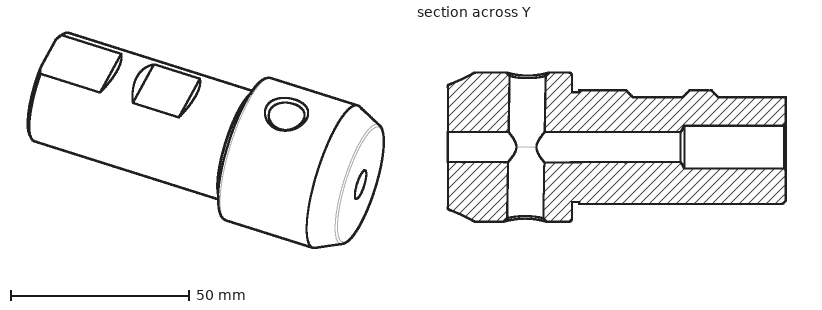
import cadquery as cq
import math

length = 95.0
shank_radius = 32.0 / 2
shank_length = 58.0
shank_chamfer = 0.95
neck_radius = 31.0 / 2
collar_start = 60.0
collar_radius = 42.0 / 2
collar_rounding = 0.95
nose_start = 87.3
nose_angle = math.radians(25)
nose_rounding = 0.8

flat_depth = 2.0
first_flat_end = 19.0
second_flat_start = 29.0
second_flat_end = 42.9

bore_radius = 12.0 / 2
bore_mouth_radius = 13.0 / 2
bore_depth = 28.5
through_radius = 8.4 / 2
drill_point_angle = math.radians(60)

screw_hole_radius = 10.1 / 2
screw_mouth_chamfer = 1.0
screw_hole_x = 72.9
screw_hole_tilt = 1.0

clearance = 1.9
edge_search = 0.1


def revolve_about_x(points):
    """Revolve a closed (x, radius) outline about the X axis."""
    return cq.Workplane("XY").polyline(points).close().revolve(360, (0, 0, 0), (1, 0, 0))


def body():
    nose_radius = collar_radius - (length - nose_start) * math.tan(nose_angle)
    turned = revolve_about_x([
        (0, 0),
        (0, shank_radius - shank_chamfer),
        (shank_chamfer, shank_radius),
        (shank_length, shank_radius),
        (shank_length, neck_radius),
        (collar_start, neck_radius),
        (collar_start, collar_radius),
        (nose_start, collar_radius),
        (length, nose_radius),
        (length, 0),
    ])
    rounded_nose = turned.faces(">X").edges().fillet(nose_rounding)
    collar_edge = cq.selectors.RadiusNthSelector(-1)
    collar_face = rounded_nose.faces(cq.selectors.BoxSelector(
        (collar_start - edge_search, -collar_radius, -collar_radius),
        (collar_start + edge_search, collar_radius, collar_radius),
    ))
    return collar_face.edges(collar_edge).fillet(collar_rounding)


def flat_cutter(start, end, start_ramp):
    """Cutter above a flat from start to end; ramps widen it upwards at 45 degrees."""
    floor = shank_radius - flat_depth
    height = flat_depth + clearance
    outline = [
        (start, floor),
        (end, floor),
        (end + height, floor + height),
        (start - start_ramp * height, floor + height),
    ]
    return cq.Workplane("XZ").polyline(outline).close().extrude(shank_radius, both=True)


def bore_cutter():
    mouth_depth = bore_mouth_radius - bore_radius
    point_length = (bore_radius - through_radius) / math.tan(drill_point_angle)
    return revolve_about_x([
        (0, 0),
        (0, bore_mouth_radius),
        (mouth_depth, bore_radius),
        (bore_depth, bore_radius),
        (bore_depth + point_length, through_radius),
        (length, through_radius),
        (length, 0),
    ])


def screw_hole_cutter():
    half_length = collar_radius + clearance
    cutter = cq.Workplane("XY").circle(screw_hole_radius).extrude(half_length, both=True)
    return cutter.rotate((0, 0, 0), (0, 1, 0), -screw_hole_tilt).translate((screw_hole_x, 0, 0))


def chamfer_screw_hole_mouths(part):
    """Chamfer the saddle-shaped rims where the cross hole leaves the collar."""
    reach = screw_hole_radius + clearance
    for side in (1, -1):
        rim_box = cq.selectors.BoxSelector(
            (screw_hole_x - reach, -reach, side * (collar_radius - clearance)),
            (screw_hole_x + reach, reach, side * (collar_radius + clearance)),
            boundingbox=True,
        )
        part = part.edges(rim_box).chamfer(screw_mouth_chamfer)
    return part


holder = (
    body()
    .cut(flat_cutter(-clearance, first_flat_end, 0))
    .cut(flat_cutter(second_flat_start, second_flat_end, 1))
    .cut(bore_cutter())
    .cut(screw_hole_cutter())
)
result = chamfer_screw_hole_mouths(holder)